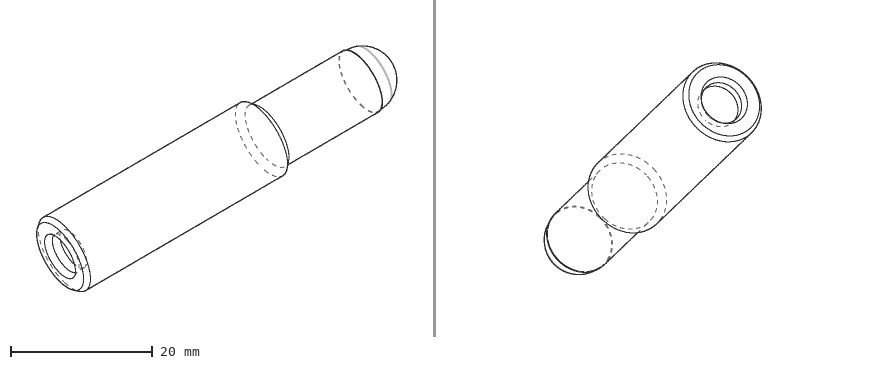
import cadquery as cq
import math

length = 59.0
body_radius = 12.0 / 2
shank_radius = 5.0
nose_radius = 4.9

nose_length = 5.2
shank_length = 16.75
shoulder_length = 1.0
end_chamfer_length = 0.75
dome_length = 3.2
band_length = 0.2
end_chamfer_depth = 0.6

hole_radius = 3.05
hole_depth = 2.35
countersink_radius = 3.55
countersink_depth = 1.0

end_y = -length / 2
tip_y = length / 2
nose_base_y = tip_y - nose_length
nose_centre_y = tip_y - nose_radius
shank_base_y = nose_base_y - shank_length
shoulder_base_y = shank_base_y - shoulder_length
dome_base_y = tip_y - dome_length
band_base_y = dome_base_y - band_length
dome_middle_y = (dome_base_y + tip_y) / 2
flank_middle_y = (nose_centre_y + band_base_y) / 2


def nose_radius_at(y):
    """Radius of the spherical nose at an axial station."""
    return math.sqrt(nose_radius**2 - (y - nose_centre_y) ** 2)


def revolve_about_y(profile):
    return profile.close().revolve(360, (0, 0, 0), (0, 1, 0))


def make_pin():
    """Chamfered body, conical shoulder, slimmer shank and round nose with a narrow conical band."""
    profile = (
        cq.Workplane("XY")
        .moveTo(0, end_y)
        .lineTo(body_radius - end_chamfer_depth, end_y)
        .lineTo(body_radius, end_y + end_chamfer_length)
        .lineTo(body_radius, shoulder_base_y)
        .lineTo(shank_radius, shank_base_y)
        .lineTo(shank_radius, nose_base_y)
        .lineTo(nose_radius, nose_base_y)
        .threePointArc(
            (nose_radius_at(flank_middle_y), flank_middle_y),
            (nose_radius_at(band_base_y), band_base_y),
        )
        .lineTo(nose_radius_at(dome_base_y), dome_base_y)
        .threePointArc((nose_radius_at(dome_middle_y), dome_middle_y), (0, tip_y))
    )
    return revolve_about_y(profile)


def make_end_hole():
    """Flat-bottomed hole with a conical countersink at its mouth."""
    profile = (
        cq.Workplane("XY")
        .moveTo(0, end_y)
        .lineTo(countersink_radius, end_y)
        .lineTo(hole_radius, end_y + countersink_depth)
        .lineTo(hole_radius, end_y + hole_depth)
        .lineTo(0, end_y + hole_depth)
    )
    return revolve_about_y(profile)


result = make_pin().cut(make_end_hole())